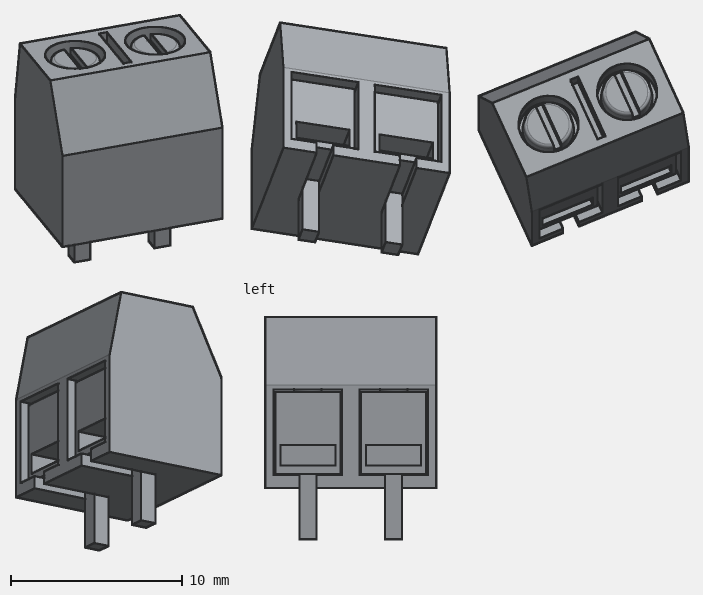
import cadquery as cq


pole_count = 2
housing_depth = 7.8
housing_width = 10.0
pole_pitch = housing_width / pole_count
total_height = 13.0
pin_length = 3.0
housing_height = total_height - pin_length
shoulder_height = 6.0
front_setback = 0.8
back_setback = 2.0

groove_length = 4.0
groove_width = 0.5
groove_depth = 1.0

screw_x = 3.35
head_top_diameter = 2.81
head_diameter = 3.0
head_height = 1.0
head_recess = 0.2
head_fillet = 0.2
driver_slot_width = 0.45
driver_slot_depth = 0.5
shank_diameter = 1.6
bore_x = 3.3
bore_diameter = 3.5

clamp_width = 3.8
clamp_height = 4.8
clamp_base = 0.8
clamp_recess = 0.5
clamp_length = 2 * (screw_x - clamp_recess)
pocket_width = 4.0
pocket_height = 5.0
pocket_base = 0.75
back_clearance = (pocket_width - clamp_width) / 2
wire_width = 3.2
wire_height = 1.2
wire_base = 1.3
pin_size = 1.0
pin_x = 4.0

clamp_top = clamp_base + clamp_height
head_top = housing_height - head_recess
head_bottom = head_top - head_height
pole_positions = [(i + 0.5) * pole_pitch for i in range(pole_count)]


def block(x_start, x_end, y_center, width, z_start, z_end):
    """Box between two X and two Z positions, centred on y_center."""
    return (
        cq.Workplane("XY")
        .box(x_end - x_start, width, z_end - z_start, centered=(False, True, False))
        .translate((x_start, y_center, z_start))
    )


def cylinder(x, y, diameter, z_start, z_end):
    """Vertical cylinder between two Z positions."""
    return (
        cq.Workplane("XY", origin=(x, y, z_start))
        .circle(diameter / 2)
        .extrude(z_end - z_start)
    )


def make_housing():
    """Sloped block with a clamp pocket, pin slot and stepped screw bore for each pole."""
    housing = (
        cq.Workplane("XZ")
        .moveTo(0, 0)
        .lineTo(housing_depth, 0)
        .lineTo(housing_depth, shoulder_height)
        .lineTo(housing_depth - back_setback, housing_height)
        .lineTo(front_setback, housing_height)
        .lineTo(0, shoulder_height)
        .close()
        .extrude(-housing_width)
    )
    pocket_end = clamp_recess + clamp_length + back_clearance
    pocket_top = pocket_base + pocket_height
    for y in pole_positions:
        pocket = block(0, pocket_end, y, pocket_width, pocket_base, pocket_top)
        pin_slot = block(0, pin_x + pin_size / 2, y, pin_size, 0, pocket_base)
        head_bore = cylinder(bore_x, y, bore_diameter, head_bottom, housing_height)
        shank_hole = cylinder(screw_x, y, shank_diameter, pocket_top, head_bottom)
        for cutter in (pocket, pin_slot, head_bore, shank_hole):
            housing = housing.cut(cutter)

    groove = block(
        bore_x - groove_length / 2,
        bore_x + groove_length / 2,
        housing_width / 2,
        groove_width,
        housing_height - groove_depth,
        housing_height,
    )
    return housing.cut(groove)


def make_clamp(y):
    """Clamp block with a rectangular wire opening and a solder pin below it."""
    clamp_end = clamp_recess + clamp_length
    body = block(clamp_recess, clamp_end, y, clamp_width, clamp_base, clamp_top)
    wire_opening = block(clamp_recess, clamp_end, y, wire_width, wire_base, wire_base + wire_height)
    pin = block(pin_x - pin_size / 2, pin_x + pin_size / 2, y, pin_size, -pin_length, clamp_base)
    return body.cut(wire_opening).union(pin)


def make_screw(y):
    """Round-edged, slightly tapered slotted screw whose shank ends on top of the clamp."""
    cone = cq.Solid.makeCone(
        head_diameter / 2, head_top_diameter / 2, head_height, cq.Vector(screw_x, y, head_bottom)
    )
    head = cq.Workplane(cone).faces(">Z").edges().fillet(head_fillet)
    driver_slot = block(
        screw_x - head_diameter / 2,
        screw_x + head_diameter / 2,
        y,
        driver_slot_width,
        head_top - driver_slot_depth,
        head_top,
    )
    shank = cylinder(screw_x, y, shank_diameter, clamp_top, head_bottom)
    return head.cut(driver_slot).union(shank)


housing = make_housing()
clamps = [make_clamp(y) for y in pole_positions]
screws = [make_screw(y) for y in pole_positions]

result = cq.Compound.makeCompound([
    housing.val(),
    *[clamp.val() for clamp in clamps],
    *[screw.val() for screw in screws],
])